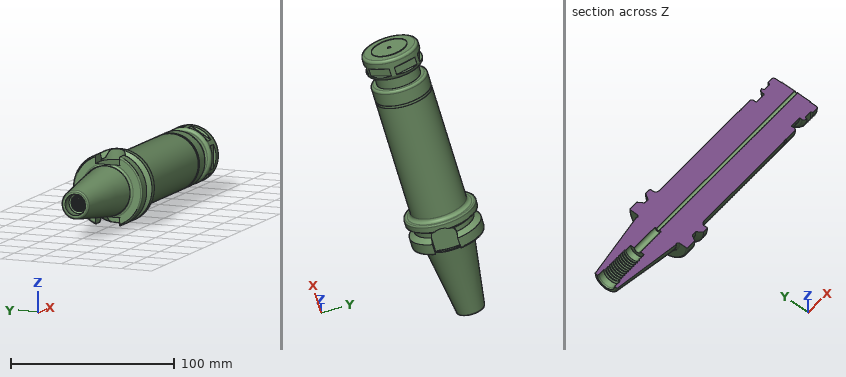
import cadquery as cq

TOTAL_LENGTH = 183.4

TAPER_LENGTH = 48.5
TAPER_LARGE_RADIUS = 16.0
TAPER_RATIO = 7 / 24
TAPER_SMALL_RADIUS = TAPER_LARGE_RADIUS - TAPER_LENGTH * TAPER_RATIO / 2
TAPER_EDGE_FILLET = 1.0

RELIEF_RADIUS = 15.5
RELIEF_FILLET = 1.5

FLANGE_FRONT = 50.5
FLANGE_BACK = 70.5
FLANGE_RADIUS = 46.0 / 2
FLANGE_EDGE_FILLET = 1.0
GROOVE_FRONT = 60.3
GROOVE_BACK = 63.5
GROOVE_RADIUS = 19.0
GROOVE_FLANK_RUN = 2.5

KEYWAY_WIDTH = 16.1
KEYWAY_FLOOR = 16.3
KEYWAY_END = 67.3

BODY_END = 162.0
BODY_RADIUS = 18.0
BODY_ROOT_FILLET = 2.5
BODY_EDGE_FILLET = 1.7
RING_START = 150.4
RING_END = 152.0
RING_DEPTH = 0.2

NECK_RADIUS = 28.0 / 2
NUT_START = 169.5
NUT_END = 183.0
NUT_FRONT_FILLET = 2.2
NUT_BACK_FILLET = 1.8
COLLET_RADIUS = 11.4
NUT_SLOT_COUNT = 6
NUT_SLOT_START = 172.4
NUT_SLOT_END = 177.3
NUT_SLOT_FLOOR = 16.3
NUT_SLOT_WALL_SLOPE = 0.3

MOUTH_RADIUS = 13.4 / 2
MOUTH_CHAMFER_DEPTH = 1.1
PILOT_RADIUS = 12.8 / 2
PILOT_END = 5.5
THREAD_START = 6.5
THREAD_ROOT_RADIUS = 12.0 / 2
THREAD_CREST_RADIUS = 10.5 / 2
THREAD_PITCH = 1.75
THREAD_TURNS = 11
TAPPED_BORE_END = 30.0
STEP_BORE_RADIUS = 4.5 / 2
STEP_BORE_END = 50.0
COOLANT_RADIUS = 2.0 / 2

OVERCUT = 1.8


def revolve_about_x(profile):
    """Revolve an XY profile a full turn about the X axis."""
    return profile.close().revolve(360, (0, 0, 0), (1, 0, 0))


def disc(start, end, radius):
    """Cylinder on the X axis from start to end."""
    return cq.Workplane("YZ").workplane(offset=start).circle(radius).extrude(end - start)


def make_shank():
    """Taper, relief neck and a fillet rising into the front face of the flange."""
    profile = (
        cq.Workplane("XY")
        .lineTo(0, TAPER_SMALL_RADIUS)
        .lineTo(TAPER_LENGTH, TAPER_LARGE_RADIUS)
        .lineTo(FLANGE_FRONT - RELIEF_FILLET, RELIEF_RADIUS)
        .radiusArc((FLANGE_FRONT, RELIEF_RADIUS + RELIEF_FILLET), -RELIEF_FILLET)
        .lineTo(FLANGE_FRONT, 0)
    )
    return revolve_about_x(profile).faces("<X").edges().fillet(TAPER_EDGE_FILLET)


def make_flange():
    flange = disc(FLANGE_FRONT, FLANGE_BACK, FLANGE_RADIUS)
    flange = flange.edges().fillet(FLANGE_EDGE_FILLET)
    groove = (
        cq.Workplane("XY")
        .moveTo(GROOVE_FRONT - GROOVE_FLANK_RUN, FLANGE_RADIUS)
        .lineTo(GROOVE_FRONT, GROOVE_RADIUS)
        .lineTo(GROOVE_BACK, GROOVE_RADIUS)
        .lineTo(GROOVE_BACK + GROOVE_FLANK_RUN, FLANGE_RADIUS)
        .lineTo(GROOVE_BACK + GROOVE_FLANK_RUN, FLANGE_RADIUS + OVERCUT)
        .lineTo(GROOVE_FRONT - GROOVE_FLANK_RUN, FLANGE_RADIUS + OVERCUT)
    )
    return flange.cut(revolve_about_x(groove))


def make_body():
    """Cylindrical body with a filleted root on the flange and a rounded far edge."""
    root = (
        cq.Workplane("XY")
        .moveTo(FLANGE_BACK, 0)
        .lineTo(FLANGE_BACK, BODY_RADIUS + BODY_ROOT_FILLET)
        .radiusArc((FLANGE_BACK + BODY_ROOT_FILLET, BODY_RADIUS), -BODY_ROOT_FILLET)
        .lineTo(FLANGE_BACK + BODY_ROOT_FILLET, 0)
    )
    body = disc(FLANGE_BACK, BODY_END, BODY_RADIUS).edges(">X").fillet(BODY_EDGE_FILLET)
    ring = disc(RING_START, RING_END, BODY_RADIUS + OVERCUT)
    ring = ring.cut(disc(RING_START, RING_END, BODY_RADIUS - RING_DEPTH))
    return body.union(revolve_about_x(root)).cut(ring)


def make_nut():
    """Nut with flat-bottomed wrench slots spread evenly around its rim."""
    nut = disc(NUT_START, NUT_END, BODY_RADIUS)
    nut = nut.edges("<X").fillet(NUT_FRONT_FILLET)
    nut = nut.edges(">X").fillet(NUT_BACK_FILLET)
    rim = BODY_RADIUS + OVERCUT
    lean = (rim - NUT_SLOT_FLOOR) * NUT_SLOT_WALL_SLOPE
    slot = (
        cq.Workplane("XY")
        .moveTo(NUT_SLOT_START, NUT_SLOT_FLOOR)
        .lineTo(NUT_SLOT_END, NUT_SLOT_FLOOR)
        .lineTo(NUT_SLOT_END + lean, rim)
        .lineTo(NUT_SLOT_START - lean, rim)
        .close()
        .extrude(BODY_RADIUS, both=True)
    )
    for index in range(NUT_SLOT_COUNT):
        angle = index * 360 / NUT_SLOT_COUNT
        nut = nut.cut(slot.rotate((0, 0, 0), (1, 0, 0), angle))
    return nut


def make_keyway():
    """Round-ended key slot, open towards the taper, on the +Z side."""
    half_width = KEYWAY_WIDTH / 2
    straight_end = KEYWAY_END - half_width
    open_end = TAPER_LENGTH - OVERCUT
    return (
        cq.Workplane("XY")
        .workplane(offset=KEYWAY_FLOOR)
        .moveTo(open_end, -half_width)
        .lineTo(straight_end, -half_width)
        .threePointArc((KEYWAY_END, 0), (straight_end, half_width))
        .lineTo(open_end, half_width)
        .close()
        .extrude(FLANGE_RADIUS - KEYWAY_FLOOR + OVERCUT)
    )


def make_bore():
    """Chamfered pilot, ring-shaped thread grooves, tapped bore, step bore and coolant hole."""
    profile = (
        cq.Workplane("XY")
        .lineTo(0, MOUTH_RADIUS)
        .lineTo(MOUTH_CHAMFER_DEPTH, PILOT_RADIUS)
        .lineTo(PILOT_END, PILOT_RADIUS)
        .lineTo(THREAD_START, THREAD_CREST_RADIUS)
    )
    for turn in range(THREAD_TURNS):
        turn_start = THREAD_START + turn * THREAD_PITCH
        profile = profile.lineTo(turn_start + THREAD_PITCH / 2, THREAD_ROOT_RADIUS)
        profile = profile.lineTo(turn_start + THREAD_PITCH, THREAD_CREST_RADIUS)
    profile = (
        profile
        .lineTo(TAPPED_BORE_END, THREAD_CREST_RADIUS)
        .lineTo(TAPPED_BORE_END, STEP_BORE_RADIUS)
        .lineTo(STEP_BORE_END, STEP_BORE_RADIUS)
        .lineTo(STEP_BORE_END, COOLANT_RADIUS)
        .lineTo(TOTAL_LENGTH, COOLANT_RADIUS)
        .lineTo(TOTAL_LENGTH, 0)
    )
    return revolve_about_x(profile)


holder = make_shank().union(make_flange()).union(make_body())
holder = holder.union(disc(BODY_END, NUT_START, NECK_RADIUS))
holder = holder.union(make_nut())
holder = holder.union(disc(NUT_END, TOTAL_LENGTH, COLLET_RADIUS))

keyway = make_keyway()
holder = holder.cut(keyway)
holder = holder.cut(keyway.rotate((0, 0, 0), (1, 0, 0), 180))

result = holder.cut(make_bore())